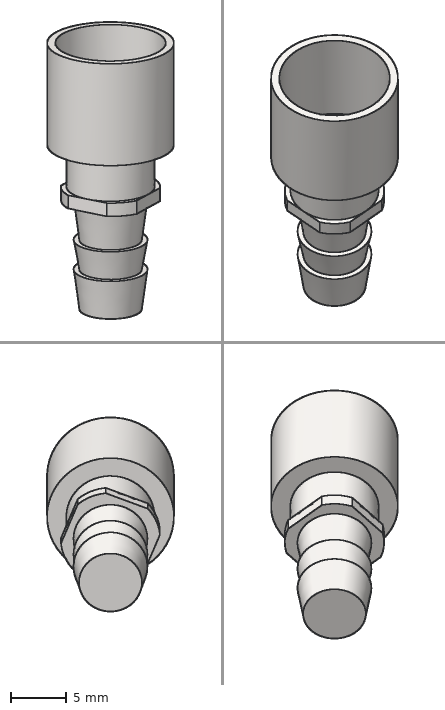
import cadquery as cq

total_height = 25.5
cup_base_z = 15.73
collar_top_z = 11.7
collar_base_z = 10.43
upper_barb_base_z = 6.63
lower_barb_top_z = 3.8

cup_diameter = 11.5
bore_diameter = 10.0
neck_diameter = 8.0
collar_diameter = 9.0
barb_diameter = 6.7
barb_root_diameter = 5.69

collar_across_flats = neck_diameter
cup_floor_thickness = (cup_diameter - bore_diameter) / 2


def cylinder(diameter, base_z, top_z):
    return cq.Workplane("XY").workplane(offset=base_z).circle(diameter / 2).extrude(top_z - base_z)


def make_cup():
    """Socket open at the top, with a floor as thick as its wall."""
    outside = cylinder(cup_diameter, cup_base_z, total_height)
    bore = cylinder(bore_diameter, cup_base_z + cup_floor_thickness, total_height)
    return outside.cut(bore)


def make_collar():
    """Round collar with four flats flush with the neck."""
    height = collar_top_z - collar_base_z
    square = (
        cq.Workplane("XY")
        .workplane(offset=collar_base_z)
        .rect(collar_across_flats, collar_across_flats)
        .extrude(height)
    )
    return cylinder(collar_diameter, collar_base_z, collar_top_z).intersect(square)


def make_hose_tail():
    """Three stacked cones, each widening upward from the root to the barb diameter."""
    cone_edges = [0, lower_barb_top_z, upper_barb_base_z, collar_base_z]
    profile = [(0, 0)]
    for base_z, top_z in zip(cone_edges, cone_edges[1:]):
        profile.append((barb_root_diameter / 2, base_z))
        profile.append((barb_diameter / 2, top_z))
    profile.append((0, collar_base_z))
    return cq.Workplane("XZ").polyline(profile).close().revolve(360, (0, 0, 0), (0, 1, 0))


neck = cylinder(neck_diameter, collar_top_z, cup_base_z)
result = make_hose_tail().union(make_collar()).union(neck).union(make_cup())